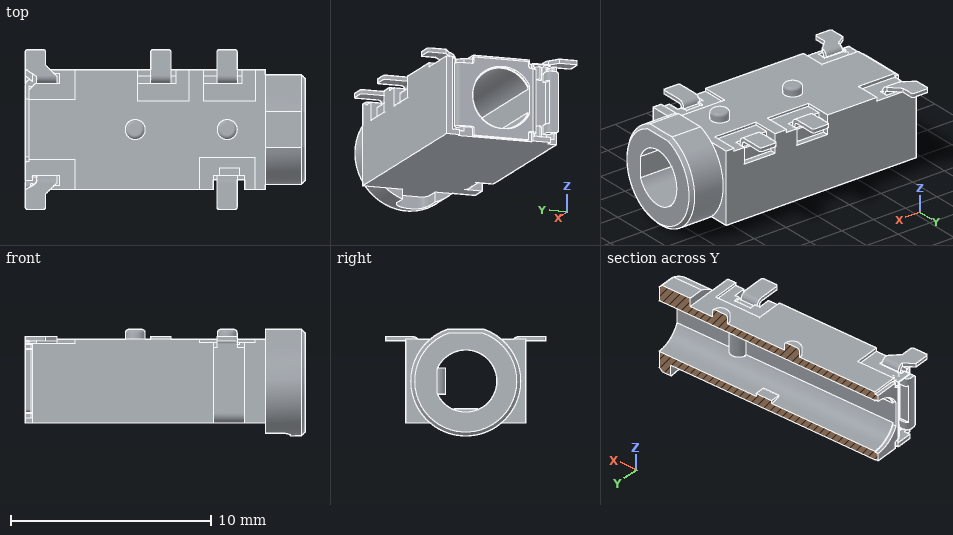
import cadquery as cq
import math

BODY_LENGTH = 12.0
BODY_WIDTH = 6.0
BODY_HEIGHT = 4.2
SIDE = BODY_WIDTH / 2
TOP = BODY_HEIGHT / 2

BARREL_LENGTH = 2.0
BARREL_RADIUS = 2.75
BARREL_FLAT_Z = 2.6
BARREL_CHAMFER = 0.2
SCOOP_HALF_WIDTH = 0.87
SCOOP_END_X = 13.25
SCOOP_CORNER_RADIUS = 0.42

BORE_RADIUS = 1.55
MOUTH_RADIUS = 1.6
MOUTH_DEPTH = 0.2
BORE_FLAT_Y = -1.43

SPRING_X = 10.1
SPRING_TIP_Y = -1.0
SPRING_RADIUS = 0.5
SPRING_HEIGHT = 1.33
SILL_X = 6.8
SILL_LENGTH = 1.0
SILL_WIDTH = 1.16
SILL_TOP_Z = -1.38
SILL_BOTTOM_Z = -1.75

PIN_XS = (5.5, 10.1)
PIN_RADIUS = 0.5
PIN_HEIGHT = 0.5
PIN_ROUND = 0.2

TAIL_REACH = 4.0
TAIL_WIDTH = 1.02
TAIL_TOP_Z = 2.23
TAIL_THICKNESS = 0.22
TAIL_BEND_RADIUS = 0.38
TAIL_CORNER_RADIUS = 0.12
LEG_INNER_Y = 2.3
LEG_BOTTOM_Z = 1.5
LEFT_TAIL_XS = (6.27, 9.58)
RIGHT_TAIL_X = 9.58

FRONT_LEG_START_X = 0.57
FRONT_LEG_END_X = 1.6
FLARE_INNER_Y = 2.65
FLARE_FRONT_Y = 3.02
FLARE_OUTER_Y = 3.22

CORNER_RECESS_LENGTH = 2.5
CORNER_RECESS_INNER_Y = 1.5
CORNER_RECESS_DEPTH = 0.21
CORNER_SLOT_LENGTH = 1.72
CORNER_SLOT_OUTER_Y = 2.79
SIDE_RECESS_DEPTH = 0.16
LEFT_RECESS_LENGTH = 2.58
LEFT_RECESS_INNER_Y = 1.43
LEFT_SLOT_LENGTH = 1.92
LEFT_SLOT_LEAD = 0.66
LEFT_NOTCH_INNER_Y = 2.67
LEFT_NOTCH_FLOOR_Z = 1.0
RIGHT_RECESS_X = (8.7, 11.49)
RIGHT_RECESS_INNER_Y = 1.41
SLOT_FLOOR_Z = 1.69

NOTCH_X = (9.4, 10.97)
NOTCH_FLOOR_Y = LEG_INNER_Y + TAIL_THICKNESS
NOTCH_FOOT_RADIUS = 0.48
RELIEF_X = (9.7, 10.72)
RELIEF_INNER_Y = 1.93
RELIEF_DEPTH = 0.1

WALL_SETBACK = 0.36
PLATE_THICKNESS = 0.2
PLATE_LEFT_Y = 1.53
PLATE_RIGHT_Y = -1.38
PLATE_TOP_Z = 1.96
PLATE_BOTTOM_Z = -2.06
WING_HALF_HEIGHT = 1.62
WING_FILLET = 0.12
WING_DEPTH = 0.6
LEFT_WING_Y = 2.5
LEFT_BEND_RADIUS = 0.29
RIGHT_WING_Y = -1.87
RIGHT_BEND_RADIUS = 0.3
BEND_OVERLAP = 0.05
RIGHT_FLANGE_Y = (-2.55, -1.6)
POCKET_HALF_HEIGHT = 1.84
LEFT_POCKET_INNER_Y = 1.99
LEFT_POCKET_OUTER_Y = 2.69
LEFT_POCKET_DEPTH = 0.5
RIGHT_POCKET_FLOOR_Y = (-2.55, -1.92)
RIGHT_POCKET_OUTER_Y = -2.86
RIGHT_POCKET_DEPTH = 0.6
RIDGE_Y = (-2.29, -1.92)
RIDGE_CREST_Y = -2.1
RIDGE_CREST_X = 0.3
RIDGE_INNER_Z = 1.2
CONTACT_INNER_Y = -2.38
CONTACT_FOLD_Y = -2.71
CONTACT_OUTER_Y = -2.98
CONTACT_FLAP_THICKNESS = 0.28
CONTACT_ROUND = 0.27
CONTACT_HALF_HEIGHT = 1.57
CONTACT_CORNER_RADIUS = 0.15
WINDOW_INNER_Y = -2.5
WINDOW_HALF_HEIGHT = 1.1

BEYOND = 1.0


def block(xs, ys, zs):
    """Box between the given pairs of X, Y and Z limits, in either order."""
    sizes = [abs(b - a) for a, b in (xs, ys, zs)]
    corner = (min(xs), min(ys), min(zs))
    return cq.Workplane("XY").box(*sizes, centered=False).translate(corner)


def mirror_y(shape):
    return shape.mirror("XZ")


def barrel():
    """Round barrel with a flat on top, chamfered at the rear and scooped out below."""
    rear = BODY_LENGTH + BARREL_LENGTH
    cylinder = cq.Workplane("YZ", origin=(BODY_LENGTH, 0, 0)).circle(BARREL_RADIUS).extrude(BARREL_LENGTH)
    cylinder = cylinder.faces(">X").chamfer(BARREL_CHAMFER)
    below_flat = block(
        (BODY_LENGTH, rear), (-BARREL_RADIUS, BARREL_RADIUS), (-BARREL_RADIUS, BARREL_FLAT_Z)
    )
    below_flat = below_flat.edges(">X and >Z").chamfer(BARREL_CHAMFER)
    scoop = block(
        (BODY_LENGTH, SCOOP_END_X),
        (-SCOOP_HALF_WIDTH, SCOOP_HALF_WIDTH),
        (-TOP, -BARREL_RADIUS - BEYOND),
    )
    scoop = scoop.edges("|Z and >X").fillet(SCOOP_CORNER_RADIUS)
    return cylinder.intersect(below_flat).cut(scoop)


def flattened_cylinder(radius, length):
    """Cylinder along X from the front face, flattened at the bore's -Y flat."""
    cylinder = cq.Workplane("YZ").circle(radius).extrude(length)
    return cylinder.intersect(block((0, length), (BORE_FLAT_Y, radius), (-radius, radius)))


def bore():
    """Through bore with a slightly wider mouth in the front plate."""
    return flattened_cylinder(BORE_RADIUS, BODY_LENGTH + BARREL_LENGTH).union(
        flattened_cylinder(MOUTH_RADIUS, MOUTH_DEPTH)
    )


def bore_springs():
    """Rounded side spring and flat lower sill reaching into the bore."""
    side_spring = (
        cq.Workplane("XY", origin=(SPRING_X, SPRING_TIP_Y - SPRING_RADIUS, -SPRING_HEIGHT / 2))
        .circle(SPRING_RADIUS)
        .extrude(SPRING_HEIGHT)
    )
    sill = block(
        (SILL_X, SILL_X + SILL_LENGTH),
        (-SILL_WIDTH / 2, SILL_WIDTH / 2),
        (SILL_TOP_Z, SILL_BOTTOM_Z),
    )
    return side_spring.union(sill)


def pin(x):
    post = cq.Workplane("XY", origin=(x, 0, TOP)).circle(PIN_RADIUS).extrude(PIN_HEIGHT)
    return post.faces(">Z").edges().fillet(PIN_ROUND)


def bent_strip(x_start, x_end):
    """Strip on the +Y side: a leg rising out of the body, bent outward into a flat tail."""
    inner_radius = TAIL_BEND_RADIUS - TAIL_THICKNESS
    bend_y = LEG_INNER_Y + TAIL_BEND_RADIUS
    bend_z = TAIL_TOP_Z - TAIL_BEND_RADIUS
    diagonal = math.sqrt(0.5)
    return (
        cq.Workplane("YZ", origin=(x_start, 0, 0))
        .moveTo(LEG_INNER_Y, LEG_BOTTOM_Z)
        .lineTo(LEG_INNER_Y, bend_z)
        .threePointArc(
            (bend_y - TAIL_BEND_RADIUS * diagonal, bend_z + TAIL_BEND_RADIUS * diagonal),
            (bend_y, TAIL_TOP_Z),
        )
        .lineTo(TAIL_REACH, TAIL_TOP_Z)
        .lineTo(TAIL_REACH, TAIL_TOP_Z - TAIL_THICKNESS)
        .lineTo(bend_y, TAIL_TOP_Z - TAIL_THICKNESS)
        .threePointArc(
            (bend_y - inner_radius * diagonal, bend_z + inner_radius * diagonal),
            (LEG_INNER_Y + TAIL_THICKNESS, bend_z),
        )
        .lineTo(LEG_INNER_Y + TAIL_THICKNESS, LEG_BOTTOM_Z)
        .close()
        .extrude(x_end - x_start)
    )


def side_tail(x):
    return bent_strip(x, x + TAIL_WIDTH).edges("|Z and >Y").fillet(TAIL_CORNER_RADIUS)


def front_tail():
    """Front tail on the +Y side, trimmed in plan to flare forward from its leg."""
    plan = (
        cq.Workplane("XY", origin=(0, 0, LEG_BOTTOM_Z))
        .polyline(
            [
                (FRONT_LEG_START_X, LEG_INNER_Y),
                (FRONT_LEG_END_X, LEG_INNER_Y),
                (FRONT_LEG_END_X, FLARE_INNER_Y),
                (TAIL_WIDTH, FLARE_OUTER_Y),
                (TAIL_WIDTH, TAIL_REACH),
                (0, TAIL_REACH),
                (0, FLARE_FRONT_Y),
                (FRONT_LEG_START_X, FLARE_INNER_Y),
            ]
        )
        .close()
        .extrude(TAIL_TOP_Z - LEG_BOTTOM_Z)
        .edges("|Z and >Y")
        .fillet(TAIL_CORNER_RADIUS)
    )
    return bent_strip(0, FRONT_LEG_END_X).intersect(plan)


def corner_recess():
    """Front-corner recess of the top face on the +Y side, with the slot for the leg."""
    recess = block(
        (0, CORNER_RECESS_LENGTH), (CORNER_RECESS_INNER_Y, SIDE), (TOP - CORNER_RECESS_DEPTH, TOP)
    )
    slot = block(
        (WALL_SETBACK, CORNER_SLOT_LENGTH), (LEG_INNER_Y, CORNER_SLOT_OUTER_Y), (WING_HALF_HEIGHT, TOP)
    )
    return recess.union(slot)


def left_recess(tail_x):
    """Top recess, leg slot and side-wall notch around a tail on the +Y side."""
    start = tail_x - LEFT_SLOT_LEAD
    recess = block(
        (start, start + LEFT_RECESS_LENGTH), (LEFT_RECESS_INNER_Y, SIDE), (TOP - SIDE_RECESS_DEPTH, TOP)
    )
    slot = block((start, start + LEFT_SLOT_LENGTH), (LEG_INNER_Y, SIDE), (SLOT_FLOOR_Z, TOP))
    notch = block((start, start + LEFT_SLOT_LENGTH), (LEFT_NOTCH_INNER_Y, SIDE), (LEFT_NOTCH_FLOOR_Z, TOP))
    return recess.union(slot).union(notch)


def right_recess():
    """Top recess, leg slot and full-height side notch around the -Y tail."""
    recess = block(RIGHT_RECESS_X, (-RIGHT_RECESS_INNER_Y, -SIDE), (TOP - SIDE_RECESS_DEPTH, TOP))
    slot = block(NOTCH_X, (-LEG_INNER_Y, -SIDE), (SLOT_FLOOR_Z, TOP))
    notch = block(NOTCH_X, (-NOTCH_FLOOR_Y, -SIDE), (-TOP, TOP))
    relief_top = TOP - SIDE_RECESS_DEPTH
    relief = block(RELIEF_X, (-RELIEF_INNER_Y, -LEG_INNER_Y), (relief_top - RELIEF_DEPTH, relief_top))
    return recess.union(slot).union(notch).union(relief).union(notch_foot())


def notch_foot():
    """Cutter that rounds the lower edge of the notch floor."""
    inner_y = -NOTCH_FLOOR_Y + NOTCH_FOOT_RADIUS
    upper_z = -TOP + NOTCH_FOOT_RADIUS
    corner = block(NOTCH_X, (-NOTCH_FLOOR_Y, inner_y), (-TOP, upper_z))
    round_core = (
        cq.Workplane("YZ", origin=(NOTCH_X[0], inner_y, upper_z))
        .circle(NOTCH_FOOT_RADIUS)
        .extrude(NOTCH_X[1] - NOTCH_X[0])
    )
    return corner.cut(round_core)


def upright_prism(plan, zs):
    """Prism with the given XY corner points between two heights."""
    return cq.Workplane("XY", origin=(0, 0, zs[0])).polyline(plan).close().extrude(zs[1] - zs[0])


def left_pocket():
    """Funnel-shaped pocket guiding the plate's left wing, open at the top."""
    plan = [
        (0, LEFT_POCKET_INNER_Y),
        (PLATE_THICKNESS, LEFT_POCKET_INNER_Y),
        (LEFT_POCKET_DEPTH, LEG_INNER_Y),
        (0, LEFT_POCKET_OUTER_Y),
    ]
    return upright_prism(plan, (-POCKET_HALF_HEIGHT, TOP))


def right_pocket():
    """Flat-bottomed pocket with sloping sides that houses the front contact."""
    flange_inner_y = RIGHT_FLANGE_Y[1]
    floor_outer_y, floor_inner_y = RIGHT_POCKET_FLOOR_Y
    plan = [
        (0, flange_inner_y),
        (RIGHT_POCKET_DEPTH, floor_inner_y),
        (RIGHT_POCKET_DEPTH, floor_outer_y),
        (WALL_SETBACK, RIGHT_POCKET_OUTER_Y),
        (0, RIGHT_POCKET_OUTER_Y),
    ]
    return upright_prism(plan, (-POCKET_HALF_HEIGHT, POCKET_HALF_HEIGHT))


def front_cuts():
    """Everything cleared from the housing at its front end before the plate goes on."""
    flange_outer_y, flange_inner_y = RIGHT_FLANGE_Y
    plate_seat = block((0, PLATE_THICKNESS), (flange_inner_y, LEG_INNER_Y), (-TOP, TOP))
    right_wall = block((0, WALL_SETBACK), (flange_outer_y, -SIDE), (-TOP, TOP))
    return plate_seat.union(right_wall).union(left_pocket()).union(right_pocket())


def wing_bend(inner_y, outer_y, radius):
    """Outer part of a plate wing, rounded where it bends back into its pocket."""
    bend = block((0, WING_DEPTH), (inner_y, outer_y), (-WING_HALF_HEIGHT, WING_HALF_HEIGHT))
    outer_edge = "|Z and <X and >Y" if outer_y > 0 else "|Z and <X and <Y"
    return bend.edges(outer_edge).fillet(radius)


def front_plate():
    """Cross-shaped plate closing the front, with its side wings bent back."""
    depth = (0, PLATE_THICKNESS)
    left_bend_y = LEFT_WING_Y - LEFT_BEND_RADIUS
    right_bend_y = RIGHT_WING_Y + RIGHT_BEND_RADIUS
    panel = block(depth, (PLATE_RIGHT_Y, PLATE_LEFT_Y), (PLATE_BOTTOM_Z, PLATE_TOP_Z))
    arms = block(depth, (right_bend_y, left_bend_y), (-WING_HALF_HEIGHT, WING_HALF_HEIGHT))
    inner_corners = cq.selectors.BoxSelector(
        (-BEYOND, PLATE_RIGHT_Y - WING_FILLET, -WING_HALF_HEIGHT - WING_FILLET),
        (BEYOND, PLATE_LEFT_Y + WING_FILLET, WING_HALF_HEIGHT + WING_FILLET),
    )
    plate = panel.union(arms).edges("|X").edges(inner_corners).fillet(WING_FILLET)
    left_bend = wing_bend(left_bend_y - BEND_OVERLAP, LEFT_WING_Y, LEFT_BEND_RADIUS)
    right_bend = wing_bend(right_bend_y + BEND_OVERLAP, RIGHT_WING_Y, RIGHT_BEND_RADIUS)
    return plate.union(left_bend).union(right_bend)


def pocket_ridge():
    """Pointed ridge on the floor of the -Y pocket, at its upper end."""
    outer_y, inner_y = RIDGE_Y
    plan = [
        (RIGHT_POCKET_DEPTH, inner_y),
        (RIDGE_CREST_X, RIDGE_CREST_Y),
        (RIGHT_POCKET_DEPTH, outer_y),
    ]
    return upright_prism(plan, (RIDGE_INNER_Z, POCKET_HALF_HEIGHT))


def folded_contact():
    """Contact rising out of the -Y pocket and folded outward in front of the side wall."""
    z_full = (-CONTACT_HALF_HEIGHT, CONTACT_HALF_HEIGHT)
    stem = block((0, RIGHT_POCKET_DEPTH), (CONTACT_FOLD_Y, CONTACT_INNER_Y), z_full)
    stem = stem.edges("|Z and <X and >Y").fillet(CONTACT_ROUND)
    window = block(
        (0, RIGHT_POCKET_DEPTH),
        (CONTACT_INNER_Y, WINDOW_INNER_Y),
        (-WINDOW_HALF_HEIGHT, WINDOW_HALF_HEIGHT),
    )
    flap = block((0, CONTACT_FLAP_THICKNESS), (CONTACT_OUTER_Y, CONTACT_FOLD_Y), z_full)
    flap = flap.edges("|X and <Y").fillet(CONTACT_CORNER_RADIUS)
    return stem.cut(window).union(flap)


def right_pocket_contacts():
    """Ridges at both ends of the -Y pocket, and the folded contact between them."""
    ridge = pocket_ridge()
    return ridge.union(ridge.mirror("XY")).union(folded_contact())


def housing():
    body = block((0, BODY_LENGTH), (-SIDE, SIDE), (-TOP, TOP))
    body = body.cut(front_cuts())
    body = body.cut(corner_recess()).cut(mirror_y(corner_recess()))
    for x in LEFT_TAIL_XS:
        body = body.cut(left_recess(x))
    return body.cut(right_recess())


def tails():
    """All five solder tails, as separate shapes."""
    left = [front_tail()] + [side_tail(x) for x in LEFT_TAIL_XS]
    right = [mirror_y(front_tail()), mirror_y(side_tail(RIGHT_TAIL_X))]
    return left + right


result = housing().union(front_plate()).union(right_pocket_contacts()).union(barrel())
result = result.cut(bore()).union(bore_springs())
for pin_x in PIN_XS:
    result = result.union(pin(pin_x))
for tail in tails():
    result = result.union(tail)